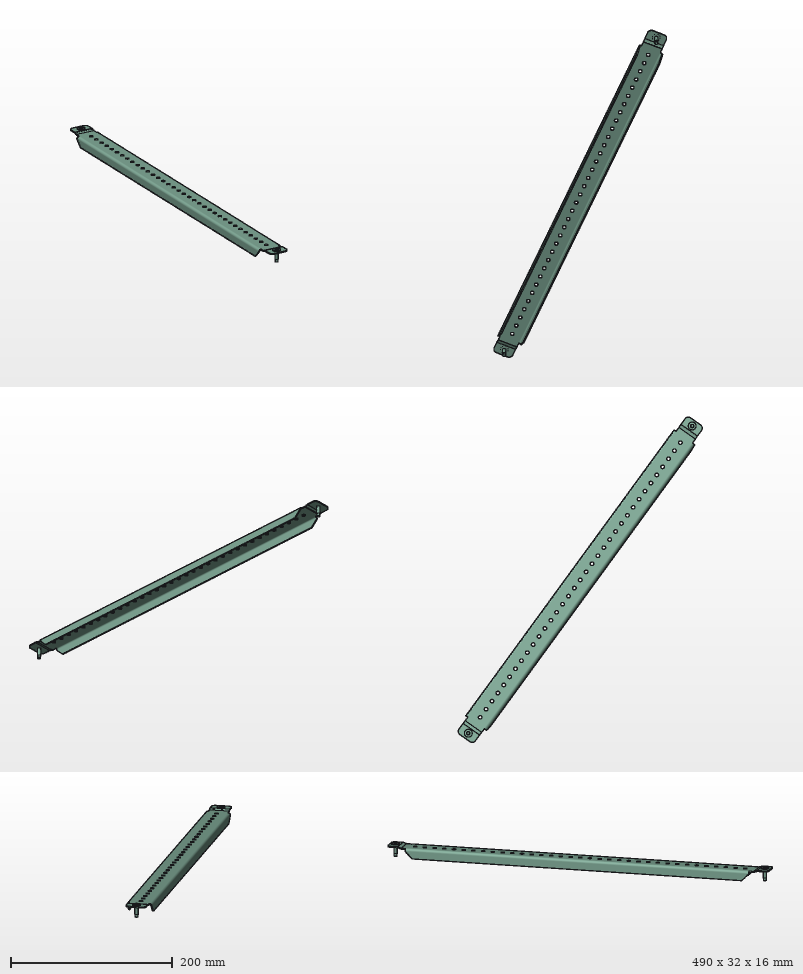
import cadquery as cq
import math

LENGTH = 490.0
WIDTH = 32.0
SHEET = 1.5
BEND_RADIUS = 3.35
FLANGE_DEPTH = 12.2

FLANGE_INSET = 24.0
CHANNEL_LENGTH = LENGTH - 2 * FLANGE_INSET
FLANGE_SLOPE = FLANGE_DEPTH - BEND_RADIUS

TAB_WIDTH = WIDTH - 2 * BEND_RADIUS
TAB_RISE = 1.5
TAB_FLAT = 13.5
JOG_RUN = 4.5
TAB_CORNER = 5.0

HOLE_COUNT = 35
HOLE_PITCH = 12.5
HOLE_DIAMETER = 4.5

SCREW_SPACING = 475.5
SCREW_POSITIONS = [-SCREW_SPACING / 2, SCREW_SPACING / 2]
SCREW_LENGTH = 16.0
HEAD_DIAMETER = 10.0
HEAD_HEIGHT = 1.0
SHANK_DIAMETER = 4.5
TIP_DIAMETER = 4.0
TIP_LENGTH = 3.5
SOCKET_SIDES = 6
SOCKET_WIDTH = 3.5
SOCKET_DEPTH = 0.75


def rounded_bar(width, height, radius):
    """Rounded bar along X, centred in Y, whose vertical middle lies at the flange edges."""
    return (
        cq.Workplane("YZ")
        .center(0, -FLANGE_DEPTH)
        .rect(width, height)
        .extrude(CHANNEL_LENGTH / 2, both=True)
        .edges("|X")
        .fillet(radius)
    )


def channel():
    """Web and two flanges, bent from one sheet, with flange ends cut at 45 degrees."""
    outer = rounded_bar(WIDTH, 2 * FLANGE_DEPTH, BEND_RADIUS)
    inner = rounded_bar(WIDTH - 2 * SHEET, 2 * (FLANGE_DEPTH - SHEET), BEND_RADIUS - SHEET)

    half_top = CHANNEL_LENGTH / 2
    half_bottom = half_top - FLANGE_SLOPE
    side_outline = (
        cq.Workplane("XZ")
        .polyline(
            [
                (-half_top, 0),
                (half_top, 0),
                (half_top, -BEND_RADIUS),
                (half_bottom, -FLANGE_DEPTH),
                (-half_bottom, -FLANGE_DEPTH),
                (-half_top, -BEND_RADIUS),
            ]
        )
        .close()
        .extrude(WIDTH / 2, both=True)
    )
    return outer.cut(inner).intersect(side_outline)


def end_strip():
    """Strip through the whole length, jogged up to a raised tab at each end."""
    end = LENGTH / 2
    jog_top = end - TAB_FLAT
    jog_bottom = jog_top - JOG_RUN
    return (
        cq.Workplane("XZ")
        .polyline(
            [
                (-end, TAB_RISE),
                (-jog_top, TAB_RISE),
                (-jog_bottom, 0),
                (jog_bottom, 0),
                (jog_top, TAB_RISE),
                (end, TAB_RISE),
                (end, TAB_RISE - SHEET),
                (jog_top, TAB_RISE - SHEET),
                (jog_bottom, -SHEET),
                (-jog_bottom, -SHEET),
                (-jog_top, TAB_RISE - SHEET),
                (-end, TAB_RISE - SHEET),
            ]
        )
        .close()
        .extrude(TAB_WIDTH / 2, both=True)
        .edges("|Z and (<X or >X)")
        .fillet(TAB_CORNER)
    )


def drill(positions, diameter):
    """Vertical cylinders that pass through the sheet at the given X positions."""
    return (
        cq.Workplane("XY")
        .pushPoints([(x, 0) for x in positions])
        .circle(diameter / 2)
        .extrude(TAB_RISE + SHEET, both=True)
    )


def make_rail():
    first_hole = -HOLE_PITCH * (HOLE_COUNT - 1) / 2
    hole_positions = [first_hole + i * HOLE_PITCH for i in range(HOLE_COUNT)]
    rail = channel().union(end_strip())
    rail = rail.cut(drill(hole_positions, HOLE_DIAMETER))
    return rail.cut(drill(SCREW_POSITIONS, SHANK_DIAMETER))


def make_screw(x):
    """Socket screw with a thin flat head resting on the tab and a narrower tip."""
    shank_length = SCREW_LENGTH - HEAD_HEIGHT - TIP_LENGTH
    head = cq.Workplane("XY").circle(HEAD_DIAMETER / 2).extrude(HEAD_HEIGHT)
    socket = (
        cq.Workplane("XY", origin=(0, 0, HEAD_HEIGHT))
        .polygon(SOCKET_SIDES, SOCKET_WIDTH / math.cos(math.pi / SOCKET_SIDES))
        .extrude(-SOCKET_DEPTH)
    )
    shank = cq.Workplane("XY").circle(SHANK_DIAMETER / 2).extrude(-shank_length)
    tip = (
        cq.Workplane("XY", origin=(0, 0, -shank_length))
        .circle(TIP_DIAMETER / 2)
        .extrude(-TIP_LENGTH)
    )
    screw = head.union(shank).union(tip).cut(socket)
    return screw.translate((x, 0, TAB_RISE))


rail = make_rail()
screws = [make_screw(x) for x in SCREW_POSITIONS]

result = cq.Compound.makeCompound([rail.val(), *[screw.val() for screw in screws]])